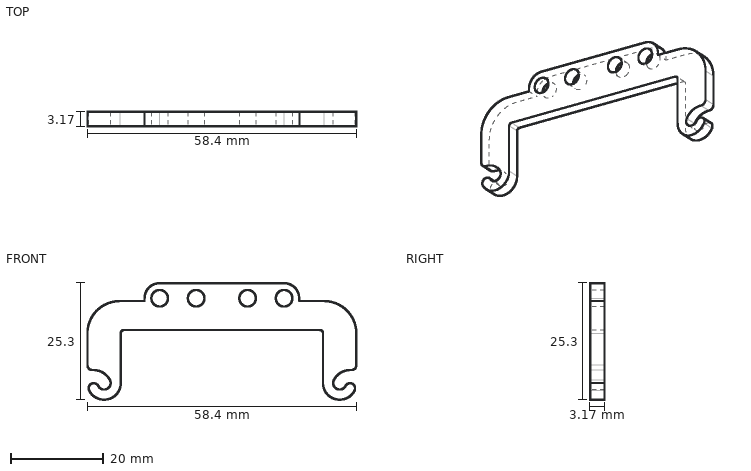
import cadquery as cq
import math

width = 58.42
height = 25.34
thickness = 3.175

leg_width = 7.3
bridge_depth = 6.35
shoulder_drop = 3.88
shoulder_radius = 7.05
inner_corner_radius = 0.6

hole_diameter = 3.556
outer_hole_x = 13.5
inner_hole_x = 5.58
tab_corner_radius = 3.3

hook_radius = leg_width / 2
seat_radius = 1.4
tip_angle = math.radians(27)
lip_radius = 1.15

half_width = width / 2
leg_inner_x = half_width - leg_width
shoulder_z = height - shoulder_drop
bridge_bottom_z = shoulder_z - bridge_depth
tab_half_width = outer_hole_x + tab_corner_radius
hole_z = height - tab_corner_radius
hook_x = half_width - hook_radius
hook_z = hook_radius
tip_radius = (hook_radius - seat_radius) / 2
tip_distance = seat_radius + tip_radius
tip_x = hook_x + tip_distance * math.cos(tip_angle)
tip_z = hook_z - tip_distance * math.sin(tip_angle)
throat_radius = tip_radius + 2 * seat_radius


def on_circle(center_x, center_z, radius, angle):
    """Point on a circle in the XZ plane, the angle measured from +X towards +Z."""
    return (center_x + radius * math.cos(angle), center_z + radius * math.sin(angle))


def extrude_through(sketch):
    """Extrude an XZ sketch through the plate, centred on Y = 0."""
    return sketch.extrude(thickness).translate((0, thickness / 2, 0))


def make_half_plate():
    """The +X half of the plate: half bridge, half tab, one leg and its hook."""
    lip_x = half_width - lip_radius
    lip_reach = throat_radius + lip_radius
    lip_z = tip_z + math.sqrt(lip_reach**2 - (lip_x - tip_x) ** 2)
    lip_angle = math.atan2(lip_z - tip_z, lip_x - tip_x)
    lip_end = on_circle(tip_x, tip_z, throat_radius, lip_angle)
    lip_middle = on_circle(lip_x, lip_z, lip_radius, (lip_angle - math.pi) / 2)

    seat_start_angle = math.pi - tip_angle
    seat_start = on_circle(hook_x, hook_z, seat_radius, seat_start_angle)
    throat_middle = on_circle(tip_x, tip_z, throat_radius, (lip_angle + seat_start_angle) / 2)

    seat_middle = on_circle(hook_x, hook_z, seat_radius, seat_start_angle + math.pi / 2)
    tip_start = on_circle(hook_x, hook_z, seat_radius, -tip_angle)
    tip_middle = on_circle(tip_x, tip_z, tip_radius, math.pi / 2 - tip_angle)
    tip_end = on_circle(hook_x, hook_z, hook_radius, -tip_angle)
    hook_middle = on_circle(hook_x, hook_z, hook_radius, -(tip_angle + math.pi) / 2)

    shoulder_middle = on_circle(
        half_width - shoulder_radius, shoulder_z - shoulder_radius, shoulder_radius, math.pi / 4
    )
    tab_corner_middle = on_circle(outer_hole_x, hole_z, tab_corner_radius, math.pi / 4)
    inner_corner_middle = on_circle(
        leg_inner_x - inner_corner_radius,
        bridge_bottom_z - inner_corner_radius,
        inner_corner_radius,
        math.pi / 4,
    )

    outline = (
        cq.Workplane("XZ")
        .moveTo(0, height)
        .lineTo(outer_hole_x, height)
        .threePointArc(tab_corner_middle, (tab_half_width, hole_z))
        .lineTo(tab_half_width, shoulder_z)
        .lineTo(half_width - shoulder_radius, shoulder_z)
        .threePointArc(shoulder_middle, (half_width, shoulder_z - shoulder_radius))
        .lineTo(half_width, lip_z)
        .threePointArc(lip_middle, lip_end)
        .threePointArc(throat_middle, seat_start)
        .threePointArc(seat_middle, tip_start)
        .threePointArc(tip_middle, tip_end)
        .threePointArc(hook_middle, (leg_inner_x, hook_z))
        .lineTo(leg_inner_x, bridge_bottom_z - inner_corner_radius)
        .threePointArc(inner_corner_middle, (leg_inner_x - inner_corner_radius, bridge_bottom_z))
        .lineTo(0, bridge_bottom_z)
        .close()
    )
    return extrude_through(outline)


def make_holes():
    """The row of four through holes along the tab."""
    hole_centers = [(side * x, hole_z) for side in (-1, 1) for x in (inner_hole_x, outer_hole_x)]
    circles = cq.Workplane("XZ").pushPoints(hole_centers).circle(hole_diameter / 2)
    return extrude_through(circles)


half_plate = make_half_plate()
plate = half_plate.union(half_plate.mirror("YZ")).clean()
result = plate.cut(make_holes())